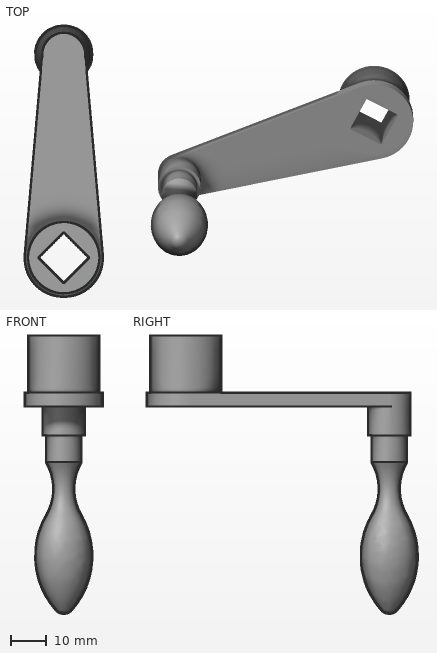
import cadquery as cq
import math

total_height = 78.0

arm_length = 57.0
arm_thickness = 4.0
arm_hub_radius = 11.0
arm_tip_radius = 6.0

hub_diameter = 20.0
hub_height = 16.0
square_side = 10.0
square_turn = 45

pin_length = 8.0
collar_radius = 5.0
collar_length = 7.5
neck_radius = 3.0
neck_length = 15.0
bulb_radius = 8.0
bulb_arc_radius = 22.6

pin_end = -pin_length
collar_end = pin_end - collar_length
neck_end = collar_end - neck_length
handle_tip = arm_thickness + hub_height - total_height


def make_arm():
    """Plate bounded by two end arcs and their outer tangent lines."""
    taper = math.asin((arm_hub_radius - arm_tip_radius) / arm_length)
    across = math.cos(taper)
    along = math.sin(taper)
    hub_x = arm_hub_radius * across
    hub_y = arm_hub_radius * along
    tip_x = arm_tip_radius * across
    tip_y = arm_length + arm_tip_radius * along
    return (
        cq.Workplane("XY")
        .moveTo(hub_x, hub_y)
        .lineTo(tip_x, tip_y)
        .threePointArc((0, arm_length + arm_tip_radius), (-tip_x, tip_y))
        .lineTo(-hub_x, hub_y)
        .threePointArc((0, -arm_hub_radius), (hub_x, hub_y))
        .close()
        .extrude(arm_thickness)
    )


def make_hub():
    return (
        cq.Workplane("XY")
        .circle(hub_diameter / 2)
        .extrude(arm_thickness + hub_height)
    )


def make_square_hole():
    return (
        cq.Workplane("XY")
        .rect(square_side, square_side)
        .extrude(arm_thickness + hub_height)
        .rotate((0, 0, 0), (0, 0, 1), square_turn)
    )


def make_handle():
    """Revolved pin, collar, waisted neck and bulb with a rounded tip."""
    centre_offset = bulb_arc_radius - bulb_radius
    widest_drop = math.sqrt(bulb_arc_radius**2 - (centre_offset + collar_radius)**2)
    widest_z = neck_end - widest_drop

    lower_length = widest_z - handle_tip
    tip_radius = (bulb_arc_radius**2 - centre_offset**2 - lower_length**2) / (
        2 * (bulb_arc_radius - lower_length)
    )
    tip_centre_z = handle_tip + tip_radius
    join_angle = math.atan2(widest_z - tip_centre_z, centre_offset)
    join_point = (
        tip_radius * math.cos(join_angle),
        tip_centre_z - tip_radius * math.sin(join_angle),
    )
    middle_angle = (join_angle + math.pi / 2) / 2
    tip_middle = (
        tip_radius * math.cos(middle_angle),
        tip_centre_z - tip_radius * math.sin(middle_angle),
    )

    return (
        cq.Workplane("XZ")
        .moveTo(0, arm_thickness)
        .lineTo(arm_tip_radius, arm_thickness)
        .lineTo(arm_tip_radius, pin_end)
        .lineTo(collar_radius, pin_end)
        .lineTo(collar_radius, collar_end)
        .threePointArc((neck_radius, (collar_end + neck_end) / 2), (collar_radius, neck_end))
        .threePointArc((bulb_radius, widest_z), join_point)
        .threePointArc(tip_middle, (0, handle_tip))
        .close()
        .revolve(360, (0, 0, 0), (0, 1, 0))
        .translate((0, arm_length, 0))
    )


result = make_arm().union(make_hub()).union(make_handle()).cut(make_square_hole())